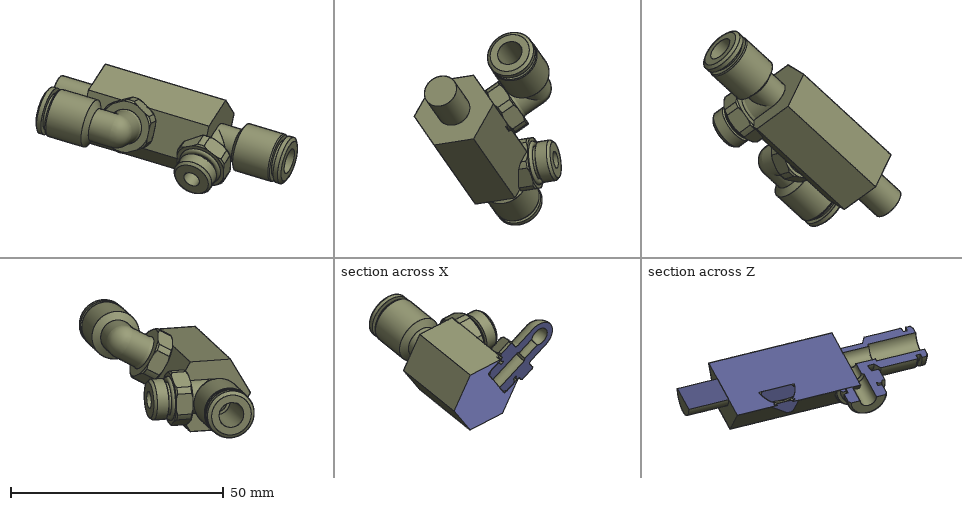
import cadquery as cq
import math


bar_flats = 17.0
bar_length = 31.0
rod_diameter = 8.0
rod_length = 10.0
bar_corners = bar_flats / math.cos(math.radians(30))

elbow_diameter = 8.0

arm_length = 18.5
sleeve_start = 5.4
sleeve_full = 6.5
sleeve_end = 15.9
sleeve_diameter = 11.6
sleeve_end_diameter = 11.3
sleeve_chamfer = 0.35
groove_diameter = 9.0
collet_start = 16.85
collet_diameter = 11.4
collet_face_diameter = 9.7
collet_chamfer = 0.55

flare_start = 5.25
flare_diameter = 8.4
nut_start = 5.9
nut_end = 10.0
nut_flats = 12.0
nut_round_diameter = 13.05
nut_face_diameter = 12.25
nut_chamfer = 0.35
neck_diameter = 7.6
seal_diameter = 10.5
seal_height = (seal_diameter - neck_diameter) / 4
thread_start = 11.25
thread_end = 15.0
thread_diameter = 9.7
thread_face_diameter = 8.55
thread_inner_chamfer = 0.25
thread_outer_chamfer = 0.7

tube_socket_diameter = 6.0
arm_bore_diameter = 4.5
stem_bore_diameter = 3.0
thread_bore_diameter = 4.0
bore_taper_start = 6.0
bore_taper_end = 6.55

side_fitting_x = 12.0
side_fitting_tilt = 30.0
side_fitting_reach = bar_flats / 2 + nut_end
end_fitting_x = bar_length


def turned_on_x(stations):
    """Solid turned about X through (position, diameter) stations."""
    points = [(place, diameter / 2) for place, diameter in stations]
    outline = [(points[0][0], 0)] + points + [(points[-1][0], 0)]
    return cq.Workplane("XY").polyline(outline).close().revolve(360, (0, 0), (1, 0))


def turned_on_stem(stations):
    """Solid turned about the stem axis, which points to -Y."""
    return turned_on_x(stations).rotate((0, 0, 0), (0, 0, 1), -90)


def make_arm():
    """Push-in arm: plain neck, sleeve, groove and release collet."""
    return turned_on_x([
        (0, elbow_diameter),
        (sleeve_start, elbow_diameter),
        (sleeve_full, sleeve_diameter),
        (sleeve_end - sleeve_chamfer, sleeve_diameter),
        (sleeve_end, sleeve_end_diameter),
        (sleeve_end, groove_diameter),
        (collet_start, groove_diameter),
        (collet_start, collet_diameter),
        (arm_length - collet_chamfer, collet_diameter),
        (arm_length, collet_face_diameter),
    ])


def make_nut():
    """Hexagon with its corners rounded and chamfered at both ends."""
    hexagon = (
        cq.Workplane("XZ", origin=(0, -nut_start, 0))
        .polygon(6, nut_flats / math.cos(math.radians(30)))
        .extrude(nut_end - nut_start)
        .rotate((0, 0, 0), (0, 1, 0), 30)
    )
    blank = turned_on_stem([
        (nut_start, nut_face_diameter),
        (nut_start + nut_chamfer, nut_round_diameter),
        (nut_end - nut_chamfer, nut_round_diameter),
        (nut_end, nut_face_diameter),
    ])
    return hexagon.intersect(blank)


def make_stem():
    """Round stem: elbow leg, flare, neck and thread, running through the nut."""
    return turned_on_stem([
        (0, elbow_diameter),
        (flare_start, elbow_diameter),
        (nut_start, flare_diameter),
        (nut_end, flare_diameter),
        (nut_end, neck_diameter),
        (thread_start, neck_diameter),
        (thread_start, thread_face_diameter),
        (thread_start + thread_inner_chamfer, thread_diameter),
        (thread_end - thread_outer_chamfer, thread_diameter),
        (thread_end, thread_face_diameter),
    ])


def make_seal_ring():
    """Half-round seal ring on the nut's lower face, around the neck."""
    return (
        cq.Workplane("XY")
        .moveTo(neck_diameter / 2, -nut_end)
        .threePointArc(
            (neck_diameter / 2 + seal_height, -nut_end - seal_height),
            (seal_diameter / 2, -nut_end),
        )
        .close()
        .revolve(360, (0, 0), (0, 1))
    )


def make_bores():
    """Passage from the tube socket round the elbow to the thread end."""
    arm_bore = turned_on_x([
        (0, arm_bore_diameter),
        (sleeve_full, arm_bore_diameter),
        (sleeve_full, tube_socket_diameter),
        (arm_length, tube_socket_diameter),
    ])
    stem_bore = turned_on_stem([
        (0, stem_bore_diameter),
        (bore_taper_start, stem_bore_diameter),
        (bore_taper_end, thread_bore_diameter),
        (thread_end, thread_bore_diameter),
    ])
    ball = cq.Workplane("XY").sphere(arm_bore_diameter / 2)
    return arm_bore.union(stem_bore).union(ball)


def make_fitting():
    """Elbow fitting with its centre at the origin, arm to +X and stem to -Y."""
    ball = cq.Workplane("XY").sphere(elbow_diameter / 2)
    outside = make_arm().union(make_stem()).union(ball).union(make_nut()).union(make_seal_ring())
    return outside.cut(make_bores())


def make_stem_recess():
    """Plain stepped hole that takes the part of a stem beyond its nut."""
    return turned_on_stem([
        (nut_end, seal_diameter),
        (nut_end + seal_height, seal_diameter),
        (nut_end + seal_height, thread_diameter),
        (thread_end, thread_diameter),
    ])


def place_on_side(shape):
    """Turn the arm to -X and the stem into the upper front flat of the bar."""
    return (
        shape.rotate((0, 0, 0), (0, 0, 1), 180)
        .translate((side_fitting_x, -side_fitting_reach, 0))
        .rotate((0, 0, 0), (1, 0, 0), -side_fitting_tilt)
    )


bar_blank = cq.Workplane("YZ").polygon(6, bar_corners).extrude(bar_length)
bar = bar_blank.cut(place_on_side(make_stem_recess()))

rod = cq.Workplane("YZ").circle(rod_diameter / 2).extrude(-rod_length)

side_fitting = place_on_side(make_fitting())

end_fitting = make_fitting().translate((end_fitting_x, 0, 0)).cut(bar_blank)

result = cq.Compound.makeCompound([
    *bar.solids().vals(),
    rod.val(),
    *side_fitting.solids().vals(),
    *end_fitting.solids().vals(),
])